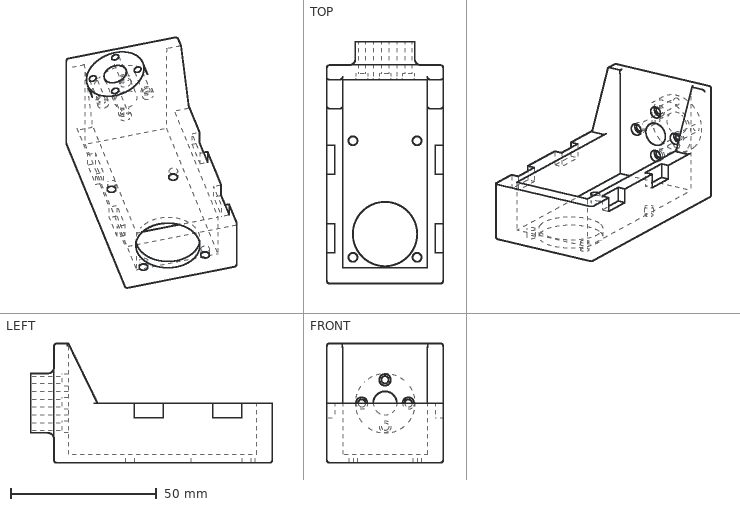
import cadquery as cq

WIDTH = 40.0
LENGTH = 75.0
TRAY_HEIGHT = 20.5
PLATE_HEIGHT = 41.0
PLATE_THICKNESS = 5.0
CHEEK_RUN = 10.0
EDGE_RADIUS = 1.0

WALL = 5.5
FLOOR = 3.0
PLATE_FRONT_Y = LENGTH - PLATE_THICKNESS
CHEEK_FOOT_Y = PLATE_FRONT_Y - CHEEK_RUN
POCKET_WIDTH = WIDTH - 2 * WALL

NOTCH_LENGTH = 10.0
NOTCH_DEPTH = 2.75
NOTCH_HEIGHT = 5.0
NOTCH_START_YS = (10.5, 37.5)

FLOOR_OPENING_DIAMETER = 22.0
FLOOR_OPENING_Y = 17.0
FLOOR_SCREW_DIAMETER = 3.0
FLOOR_SCREW_X = 11.0
FLOOR_SCREW_YS = (9.0, 49.0)

BOSS_DIAMETER = 20.5
BOSS_LENGTH = 8.0
BOSS_FILLET = 2.0
BOSS_Z = PLATE_HEIGHT / 2
SHAFT_DIAMETER = 8.0
SCREW_DIAMETER = 2.5
SCREW_HEAD_DIAMETER = 4.0
SCREW_HEAD_DEPTH = 2.25
SCREW_CIRCLE_RADIUS = 8.0
SCREW_OFFSETS = (
    (SCREW_CIRCLE_RADIUS, 0),
    (0, SCREW_CIRCLE_RADIUS),
    (-SCREW_CIRCLE_RADIUS, 0),
    (0, -SCREW_CIRCLE_RADIUS),
)


def make_outer_body():
    """Side profile extruded across the width, with the outside edges rounded."""
    body = (
        cq.Workplane("YZ")
        .moveTo(0, 0)
        .lineTo(LENGTH, 0)
        .lineTo(LENGTH, PLATE_HEIGHT)
        .lineTo(PLATE_FRONT_Y, PLATE_HEIGHT)
        .lineTo(CHEEK_FOOT_Y, TRAY_HEIGHT)
        .lineTo(0, TRAY_HEIGHT)
        .close()
        .extrude(WIDTH / 2, both=True)
    )
    upper_side_edges = cq.selectors.BoxSelector(
        (-WIDTH, CHEEK_FOOT_Y + EDGE_RADIUS, TRAY_HEIGHT + EDGE_RADIUS),
        (WIDTH, LENGTH - EDGE_RADIUS, PLATE_HEIGHT + EDGE_RADIUS),
    )
    side_edges = body.edges("<X or >X").edges(upper_side_edges)
    rounded = side_edges.add(body.faces("<Z or >Y").edges()).add(body.faces("<Y").edges("|Z"))
    return rounded.fillet(EDGE_RADIUS)


def cut_pocket(body):
    """Pocket open at the top, with the rim rounded along the cheeks and plate."""
    pocket = cq.Workplane("XY").box(
        POCKET_WIDTH,
        PLATE_FRONT_Y - WALL,
        PLATE_HEIGHT,
        centered=(True, False, False),
    )
    body = body.cut(pocket.translate((0, WALL, FLOOR)))
    plate_edge = cq.selectors.NearestToPointSelector((0, PLATE_FRONT_Y, PLATE_HEIGHT))
    body = body.edges(plate_edge).fillet(EDGE_RADIUS)
    cheek_y = PLATE_FRONT_Y - CHEEK_RUN / 2
    cheek_z = (TRAY_HEIGHT + PLATE_HEIGHT) / 2
    for side_x in (-POCKET_WIDTH / 2, POCKET_WIDTH / 2):
        cheek_edge = cq.selectors.NearestToPointSelector((side_x, cheek_y, cheek_z))
        body = body.edges(cheek_edge).fillet(EDGE_RADIUS)
    return body


def cut_notches(body):
    notch = cq.Workplane("XY").box(
        2 * NOTCH_DEPTH,
        NOTCH_LENGTH,
        NOTCH_HEIGHT,
        centered=(True, False, False),
    )
    for side_x in (-WIDTH / 2, WIDTH / 2):
        for start_y in NOTCH_START_YS:
            body = body.cut(notch.translate((side_x, start_y, TRAY_HEIGHT - NOTCH_HEIGHT)))
    return body


def cut_floor_holes(body):
    opening_plane = cq.Workplane("XY").center(0, FLOOR_OPENING_Y)
    opening = opening_plane.circle(FLOOR_OPENING_DIAMETER / 2).extrude(FLOOR)
    screw_points = [(x, y) for x in (-FLOOR_SCREW_X, FLOOR_SCREW_X) for y in FLOOR_SCREW_YS]
    screws = cq.Workplane("XY").pushPoints(screw_points).circle(FLOOR_SCREW_DIAMETER / 2).extrude(FLOOR)
    return body.cut(opening).cut(screws)


def add_boss(body):
    """Round boss on the back face, blended into it by a concave fillet."""
    radius = BOSS_DIAMETER / 2
    boss = (
        cq.Workplane("XY")
        .moveTo(0, -EDGE_RADIUS)
        .lineTo(radius + BOSS_FILLET, -EDGE_RADIUS)
        .lineTo(radius + BOSS_FILLET, 0)
        .radiusArc((radius, BOSS_FILLET), BOSS_FILLET)
        .lineTo(radius, BOSS_LENGTH)
        .lineTo(0, BOSS_LENGTH)
        .close()
        .revolve(360, (0, 0, 0), (0, 1, 0))
    )
    return body.union(boss.translate((0, LENGTH, BOSS_Z)))


def plate_holes(diameter, length, offsets):
    """Cylinders running along +Y from the front face of the plate."""
    return (
        cq.Workplane("XZ", origin=(0, PLATE_FRONT_Y, BOSS_Z))
        .pushPoints(offsets)
        .circle(diameter / 2)
        .extrude(-length)
    )


def cut_plate_holes(body):
    through = PLATE_THICKNESS + BOSS_LENGTH
    body = body.cut(plate_holes(SHAFT_DIAMETER, through, [(0, 0)]))
    body = body.cut(plate_holes(SCREW_DIAMETER, through, SCREW_OFFSETS))
    return body.cut(plate_holes(SCREW_HEAD_DIAMETER, SCREW_HEAD_DEPTH, SCREW_OFFSETS))


result = make_outer_body()
result = cut_pocket(result)
result = cut_notches(result)
result = cut_floor_holes(result)
result = add_boss(result)
result = cut_plate_holes(result)